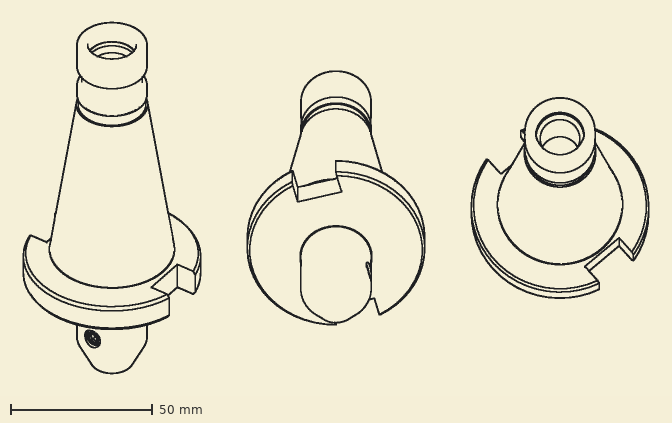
import cadquery as cq
import math

total_height = 143.4
edge_radius = 1.0
corner_radius = 0.5

shank_radius = 12.5
shank_base_z = 10.5
shank_edge_radius = 2.0
tip_radius = 7.5
root_radius = 12.8
root_fillet = 4.7

flange_diameter = 63.0
flange_radius = flange_diameter / 2
flange_base_z = 38.3
flange_height = 10.3
flange_chamfer = 0.9
flange_chamfer_height = 1.3
flange_top_z = flange_base_z + flange_height

slot_width = 16.0
slot_floor_x = 22.7

taper_ratio = 7 / 24
taper_radius = 22.2
relief_radius = 22.0
relief_height = 1.7
taper_base_z = flange_top_z + relief_height
taper_top_z = 115.7
taper_top_radius = taper_radius - taper_ratio * (taper_top_z - taper_base_z) / 2

neck_radius = 12.0
collar_radius = 12.5
collar_base_z = 120.2
collar_top_z = 125.2
groove_radius = 10.8
head_base_z = 132.0

bore_radius = 8.6
bore_depth = 6.2
bore_mouth_radius = 0.9
land_radius = 8.5
land_depth = 7.9
thread_radius = 7.0
thread_start_depth = 9.9
thread_depth = 31.5
drill_point_angle = 118

screw_z = 17.9
screw_hole_radius = 3.6
screw_seat_radius = 3.0
screw_recess = 0.9
screw_rim_radius = 2.3
screw_bevel_depth = 0.7
socket_across_flats = 2.6
socket_mouth_radius = 1.9
socket_depth = 2.2

arc_mid_ratio = 1 - math.sqrt(0.5)


def make_body():
    root_base_z = flange_base_z - root_fillet
    root_mid_offset = root_fillet * arc_mid_ratio
    profile = (
        cq.Workplane("XZ")
        .moveTo(0, 0)
        .lineTo(tip_radius, 0)
        .lineTo(shank_radius, shank_base_z)
        .lineTo(shank_radius, root_base_z)
        .lineTo(root_radius, root_base_z)
        .threePointArc(
            (root_radius + root_mid_offset, flange_base_z - root_mid_offset),
            (root_radius + root_fillet, flange_base_z),
        )
        .lineTo(flange_radius - flange_chamfer, flange_base_z)
        .lineTo(flange_radius, flange_base_z + flange_chamfer_height)
        .lineTo(flange_radius, flange_top_z - flange_chamfer_height)
        .lineTo(flange_radius - flange_chamfer, flange_top_z)
        .lineTo(relief_radius, flange_top_z)
        .lineTo(relief_radius, taper_base_z)
        .lineTo(taper_radius, taper_base_z)
        .lineTo(taper_top_radius, taper_top_z)
        .lineTo(neck_radius, taper_top_z)
        .lineTo(neck_radius, collar_base_z)
        .lineTo(collar_radius, collar_base_z)
        .lineTo(collar_radius, collar_top_z)
        .lineTo(groove_radius, collar_top_z)
        .lineTo(groove_radius, head_base_z)
        .lineTo(collar_radius, head_base_z)
        .lineTo(collar_radius, total_height)
        .lineTo(0, total_height)
        .close()
    )
    return profile.revolve(360, (0, 0, 0), (0, 1, 0))


def round_edges(body):
    """Round the tip, shank, collar and head edges and the narrow inside corners."""
    rounded_edges = [
        (tip_radius, 0, edge_radius),
        (shank_radius, shank_base_z, shank_edge_radius),
        (relief_radius, flange_top_z, corner_radius),
        (groove_radius, collar_top_z, corner_radius),
        (groove_radius, head_base_z, corner_radius),
        (collar_radius, collar_top_z, edge_radius),
        (collar_radius, head_base_z, edge_radius),
        (collar_radius, total_height, edge_radius),
    ]
    for ring_radius, z, rounding in rounded_edges:
        body = body.edges(ring_edge(ring_radius, z)).fillet(rounding)
    return body


def ring_edge(radius, z):
    """Selector for the circular edge of the given radius and height."""
    tolerance = 0.01
    reach = radius + tolerance
    inner = radius - tolerance
    outer_box = cq.selectors.BoxSelector(
        (-reach, -reach, z - tolerance), (reach, reach, z + tolerance), boundingbox=True
    )
    inner_box = cq.selectors.BoxSelector(
        (-inner, -inner, z - tolerance), (inner, inner, z + tolerance), boundingbox=True
    )
    return outer_box - inner_box


def make_bore():
    point_height = thread_radius / math.tan(math.radians(drill_point_angle / 2))
    mouth_mid = bore_mouth_radius * arc_mid_ratio
    profile = (
        cq.Workplane("XZ")
        .moveTo(0, total_height)
        .lineTo(bore_radius + bore_mouth_radius, total_height)
        .threePointArc(
            (bore_radius + mouth_mid, total_height - mouth_mid),
            (bore_radius, total_height - bore_mouth_radius),
        )
        .lineTo(bore_radius, total_height - bore_depth)
        .lineTo(land_radius, total_height - bore_depth)
        .lineTo(land_radius, total_height - land_depth)
        .lineTo(thread_radius, total_height - thread_start_depth)
        .lineTo(thread_radius, total_height - thread_depth)
        .lineTo(0, total_height - thread_depth - point_height)
        .close()
    )
    return profile.revolve(360, (0, 0, 0), (0, 1, 0))


def make_drive_slots():
    slot_length = flange_radius - slot_floor_x
    slots = cq.Workplane("XY").workplane(offset=flange_base_z)
    return (
        slots.pushPoints([(side * (slot_floor_x + slot_length / 2), 0) for side in (-1, 1)])
        .rect(slot_length, slot_width)
        .extrude(flange_height)
    )


def make_screw_recess():
    """Countersunk hole around a bevelled screw face, with its hexagon socket."""
    rim_depth = screw_recess + screw_bevel_depth
    socket_corner_radius = socket_across_flats / 2 / math.cos(math.pi / 6)
    lead_in_depth = socket_mouth_radius - socket_across_flats / 2
    recess = (
        cq.Workplane("XY")
        .moveTo(0, screw_recess)
        .lineTo(screw_hole_radius, screw_recess)
        .lineTo(screw_hole_radius, 0)
        .lineTo(screw_seat_radius, -screw_recess)
        .lineTo(screw_seat_radius, -rim_depth)
        .lineTo(screw_rim_radius, -screw_recess)
        .lineTo(socket_mouth_radius, -screw_recess)
        .lineTo(socket_across_flats / 2, -screw_recess - lead_in_depth)
        .lineTo(0, -screw_recess - lead_in_depth)
        .close()
        .revolve(360, (0, 0, 0), (0, 1, 0))
        .rotate((0, 0, 0), (0, 0, 1), 180)
        .translate((0, -shank_radius, screw_z))
    )
    socket = (
        cq.Workplane("XZ", origin=(0, screw_recess - shank_radius, screw_z))
        .polygon(6, 2 * socket_corner_radius)
        .extrude(-socket_depth)
    )
    return recess.union(socket)


body = round_edges(make_body())
result = body.cut(make_bore()).cut(make_drive_slots()).cut(make_screw_recess())